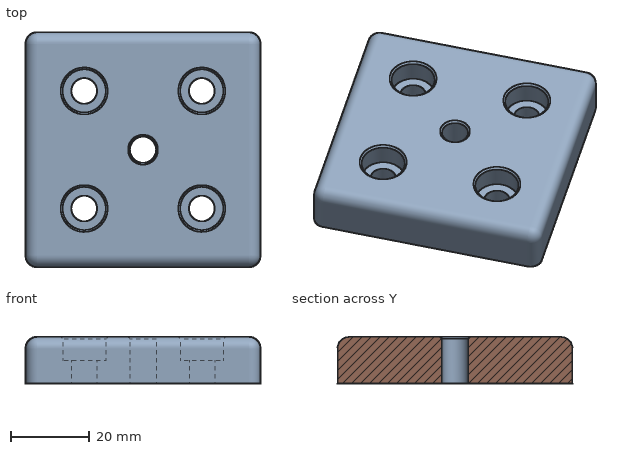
import cadquery as cq

side = 60.0
thickness = 12.0
edge_radius = 3.0

screw_spacing = 30.0
screw_diameter = 6.5
head_diameter = 11.0
head_depth = 6.0

center_diameter = 6.65

mouth_chamfer = 0.5


def rounded_plate():
    """Square plate on Z = 0 with rounded upright corners and a rounded top rim."""
    plate = cq.Workplane("XY").box(side, side, thickness, centered=(True, True, False))
    return plate.edges("|Z or >Z").fillet(edge_radius)


def bore(diameter, depth):
    """Cutter reaching down from the top face, widened by a chamfer at its mouth."""
    radius = diameter / 2
    mouth_radius = radius + mouth_chamfer
    bottom = thickness - depth
    return (
        cq.Workplane("XZ")
        .moveTo(0, bottom)
        .lineTo(radius, bottom)
        .lineTo(radius, thickness - mouth_chamfer)
        .lineTo(mouth_radius, thickness)
        .lineTo(0, thickness)
        .close()
        .revolve(360, (0, 0, 0), (0, 1, 0))
    )


def counterbored_hole():
    """Cutter for a through screw hole with a recess for the screw head."""
    shank = cq.Workplane("XY").circle(screw_diameter / 2).extrude(thickness)
    return bore(head_diameter, head_depth).union(shank)


result = rounded_plate().cut(bore(center_diameter, thickness))
screw_offset = screw_spacing / 2
for x in (-screw_offset, screw_offset):
    for y in (-screw_offset, screw_offset):
        result = result.cut(counterbored_hole().translate((x, y, 0)))